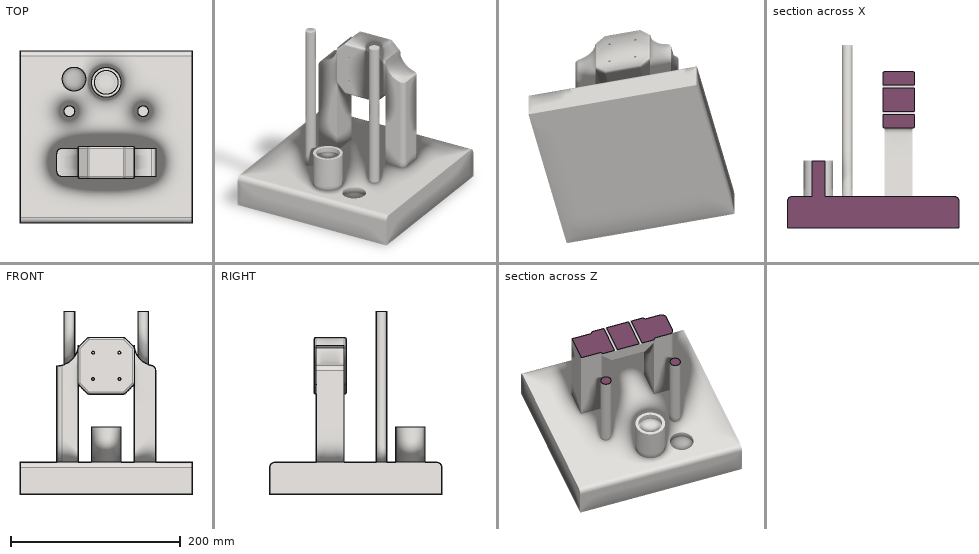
import cadquery as cq

INCH = 25.4

BASE_SIDE = 8 * INCH
BASE_HEIGHT = 1.5 * INCH
BASE_EDGE_RADIUS = 0.25 * INCH

ROD_DIAMETER = 0.5 * INCH
ROD_TOP_Z = 8.5 * INCH
ROD_X = 43.5
ROD_Y = 30.3

POCKET_DIAMETER = 28.0
CUP_DIAMETER = 35.0
CUP_HEIGHT = 41.5
POCKET_DEPTH = 7.0
CUP_Y = 64.4
RECESS_X = -38.0
RECESS_Y = 68.2

FRAME_Y = -30.1
BLOCK_SIDE = 67.0
BLOCK_DEPTH = 1.5 * INCH
BLOCK_CORNER_CUT = 12.0
BLOCK_EDGE_RADIUS = 0.1 * INCH
BLOCK_CENTER_Z = 151.7
SCREW_DIAMETER = 3.0
SCREW_SPACING = 31.0

LEG_INNER_X = 33.0
LEG_WIDTH = 1.0 * INCH
LEG_DEPTH = BLOCK_DEPTH - 2 * BLOCK_EDGE_RADIUS
LEG_OUTER_X = LEG_INNER_X + LEG_WIDTH
LEG_ROUND = 6.0
SHOULDER_RADIUS = LEG_WIDTH
SHOULDER_Z = BLOCK_CENTER_Z
SHOULDER_RISE = 24.0
LEG_TOP_Z = SHOULDER_Z + SHOULDER_RISE


def make_base():
    base = cq.Workplane("XY").box(BASE_SIDE, BASE_SIDE, BASE_HEIGHT, centered=(True, True, False))
    return base.faces(">Z").edges("|X").fillet(BASE_EDGE_RADIUS)


def cylinder(x, y, bottom_z, diameter, height):
    return cq.Workplane("XY", origin=(x, y, bottom_z)).circle(diameter / 2).extrude(height)


def make_block():
    block = cq.Workplane("XY").box(BLOCK_SIDE, BLOCK_DEPTH, BLOCK_SIDE)
    block = block.edges("|Y").chamfer(BLOCK_CORNER_CUT)
    block = block.edges().fillet(BLOCK_EDGE_RADIUS)
    return block.translate((0, FRAME_Y, BLOCK_CENTER_Z))


def make_leg():
    """Plain leg on the +X side with its concave shoulder, before any edge is rounded."""
    leg = cq.Workplane("XY").box(LEG_WIDTH, LEG_DEPTH, LEG_TOP_Z - BASE_HEIGHT, centered=(False, True, False))
    leg = leg.translate((LEG_INNER_X, FRAME_Y, BASE_HEIGHT))
    shoulder_center = (LEG_OUTER_X, FRAME_Y + LEG_DEPTH / 2, SHOULDER_Z + SHOULDER_RADIUS)
    shoulder = cq.Workplane("XZ", origin=shoulder_center).circle(SHOULDER_RADIUS).extrude(LEG_DEPTH)
    return leg.cut(shoulder)


def make_right_leg():
    """Right leg, rounded along the top of its outer face."""
    return make_leg().faces(">X").edges(">Z").fillet(LEG_ROUND)


def make_left_leg():
    """Left leg, rounded along the two upright edges of its outer face."""
    return make_leg().mirror("YZ").faces("<X").edges("|Z").fillet(LEG_ROUND)


def make_screw_holes():
    plane = cq.Workplane("XZ", origin=(0, FRAME_Y + BLOCK_DEPTH / 2, BLOCK_CENTER_Z))
    pattern = plane.rect(SCREW_SPACING, SCREW_SPACING, forConstruction=True).vertices()
    return pattern.circle(SCREW_DIAMETER / 2).extrude(BLOCK_DEPTH)


result = make_base()

for rod_x in (-ROD_X, ROD_X):
    result = result.union(cylinder(rod_x, ROD_Y, BASE_HEIGHT, ROD_DIAMETER, ROD_TOP_Z - BASE_HEIGHT))

cup_top_z = BASE_HEIGHT + CUP_HEIGHT
result = result.union(cylinder(0, CUP_Y, BASE_HEIGHT, CUP_DIAMETER, CUP_HEIGHT))
result = result.cut(cylinder(0, CUP_Y, cup_top_z - POCKET_DEPTH, POCKET_DIAMETER, POCKET_DEPTH))
result = result.cut(cylinder(RECESS_X, RECESS_Y, BASE_HEIGHT - POCKET_DEPTH, POCKET_DIAMETER, POCKET_DEPTH))

result = result.union(make_left_leg()).union(make_right_leg()).union(make_block())
result = result.cut(make_screw_holes())